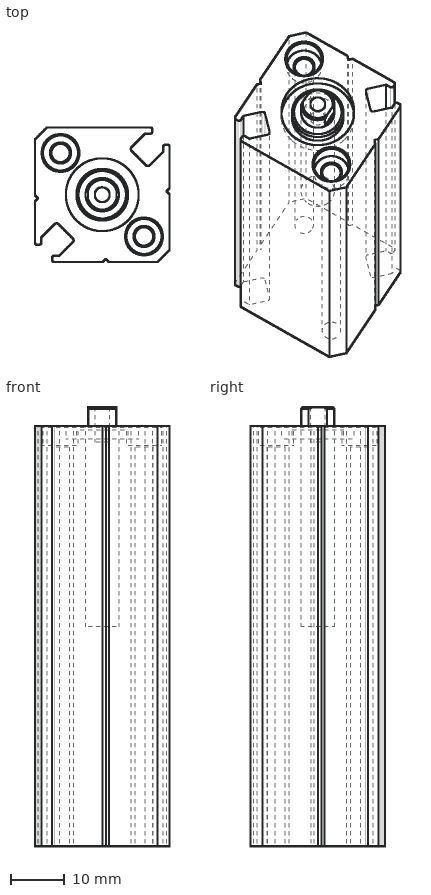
import cadquery as cq
import math

body_side = 25.0
body_height = 78.0
overall_height = 81.5
half_side = body_side / 2
corner_chamfer = 2.3

slot_width = 4.7
slot_floor_distance = 9.6
lip_thickness = 1.2
lip_tip = 9.3
lip_fillet = 0.4
slot_floor_fillet = 0.5

groove_offset = 0.65
groove_half_width = 0.6
groove_depth = 0.6
groove_angles = (0, 90, -90)

mount_offset = 7.75
mount_hole_radius = 1.7
mount_hole_chamfer = 0.25
counterbore_radius = 3.3
counterbore_depth = 3.7
counterbore_chamfer = 0.25

recess_radius = 6.8
recess_depth = 2.45
collar_radius = 4.8
collar_drop = 0.3
collar_chamfer = 0.4
collar_top = body_height - collar_drop

rod_radius = 3.1
rod_bottom = 40.75
rod_chamfer = 0.3
flat_distance = 2.6
flat_bottom = 77.8
rod_hole_radius = 1.4
rod_hole_depth = 6.5


def cylinder(radius, bottom, top):
    return cq.Workplane("XY").workplane(offset=bottom).circle(radius).extrude(top - bottom)


def full_height_prism(points):
    return cq.Workplane("XY").polyline(points).close().extrude(body_height)


def turned(shape, angle):
    return shape.rotate((0, 0, 0), (0, 0, 1), angle)


def vertical_edge_at(x, y):
    """Selector for the full-height edge that passes through (x, y)."""
    return cq.selectors.NearestToPointSelector((x, y, body_height / 2))


def slot_cutter():
    """Slot at the (+X, +Y) corner, joined with the opening between its two lips."""
    lip_inner = half_side - lip_thickness
    wall_shift = slot_width / math.sqrt(2)
    floor_middle = slot_floor_distance / math.sqrt(2)
    floor_near = floor_middle - wall_shift / 2
    floor_far = floor_middle + wall_shift / 2
    cutter = full_height_prism([
        (half_side, half_side),
        (lip_tip, half_side),
        (lip_tip, lip_inner),
        (lip_inner - wall_shift, lip_inner),
        (floor_near, floor_far),
        (floor_far, floor_near),
        (lip_inner, lip_inner - wall_shift),
        (lip_inner, lip_tip),
        (half_side, lip_tip),
    ])
    for x, y in ((floor_near, floor_far), (floor_far, floor_near)):
        cutter = cutter.edges(vertical_edge_at(x, y)).fillet(slot_floor_fillet)
    return cutter


def groove_cutter():
    """V groove on the -Y side."""
    return full_height_prism([
        (groove_offset - groove_half_width, -half_side),
        (groove_offset, -half_side + groove_depth),
        (groove_offset + groove_half_width, -half_side),
    ])


def mount_hole_cutter():
    """Stepped through hole on the axis, with a chamfer at the top of each step."""
    seat = body_height - counterbore_depth
    return (
        cq.Workplane("XZ")
        .polyline([
            (0, 0),
            (mount_hole_radius, 0),
            (mount_hole_radius, seat - mount_hole_chamfer),
            (mount_hole_radius + mount_hole_chamfer, seat),
            (counterbore_radius, seat),
            (counterbore_radius, body_height - counterbore_chamfer),
            (counterbore_radius + counterbore_chamfer, body_height),
            (0, body_height),
        ])
        .close()
        .revolve(360, (0, 0, 0), (0, 1, 0))
    )


def recess_cutter():
    """Ring-shaped recess that leaves the chamfered collar standing."""
    floor = body_height - recess_depth
    collar = cylinder(collar_radius, floor, collar_top).faces(">Z").chamfer(collar_chamfer)
    return cylinder(recess_radius, floor, body_height).cut(collar)


def round_lips(bar):
    """Fillet the vertical edges at the ends of the four lips."""
    lip_inner = half_side - lip_thickness
    for sign in (1, -1):
        for depth in (half_side, lip_inner):
            for x, y in ((lip_tip, depth), (depth, lip_tip)):
                bar = bar.edges(vertical_edge_at(sign * x, sign * y)).fillet(lip_fillet)
    return bar


def make_housing():
    housing = cq.Workplane("XY").rect(body_side, body_side).extrude(body_height)
    housing = housing.edges("|Z").edges("<(1, -1, 0) or >(1, -1, 0)").chamfer(corner_chamfer)
    for angle in (0, 180):
        housing = housing.cut(turned(slot_cutter(), angle))
    housing = round_lips(housing)
    for angle in groove_angles:
        housing = housing.cut(turned(groove_cutter(), angle))
    for sign in (1, -1):
        hole = mount_hole_cutter().translate((sign * mount_offset, -sign * mount_offset, 0))
        housing = housing.cut(hole)
    housing = housing.cut(recess_cutter())
    return housing.cut(cylinder(rod_radius, rod_bottom, body_height))


def make_rod():
    rod = cylinder(rod_radius, rod_bottom, overall_height).faces(">Z").chamfer(rod_chamfer)
    flat_height = overall_height - flat_bottom
    flat_cut_depth = rod_radius - flat_distance
    for sign in (1, -1):
        flat = (
            cq.Workplane("XY")
            .box(flat_cut_depth, 2 * rod_radius, flat_height, centered=(True, True, False))
            .translate((sign * (flat_distance + flat_cut_depth / 2), 0, flat_bottom))
        )
        rod = rod.cut(flat)
    return rod.cut(cylinder(rod_hole_radius, overall_height - rod_hole_depth, overall_height))


housing = make_housing()
rod = make_rod()
result = cq.Compound.makeCompound([housing.solids().val(), rod.solids().val()])